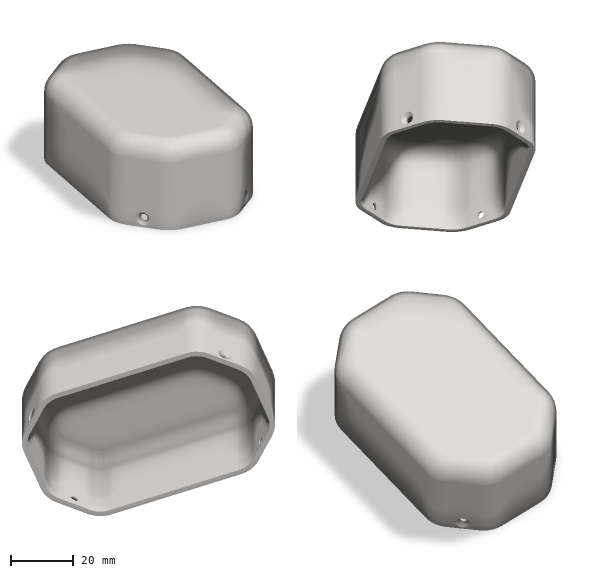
import cadquery as cq

length = 79.2
width = 50.0
height = 30.0
wall = 1.75
corner_cut = 13.4
corner_radius = 10.0
top_radius = 6.0

hole_diameter = 2.4
sink_diameter = 4.4
sink_depth = (sink_diameter - hole_diameter) / 2
hole_height = 3.0
drill_reach = 2 * wall


def rounded_octagon_block(inset):
    """Block with every side and the roof moved inward by inset."""
    block = cq.Workplane("XY").box(
        length - 2 * inset, width - 2 * inset, height - inset, centered=(True, True, False)
    )
    cut_leg = corner_cut - (2 - 2**0.5) * inset
    block = block.edges("|Z").chamfer(cut_leg)
    block = block.edges("|Z").fillet(corner_radius - inset)
    return block.faces(">Z").edges().fillet(top_radius - inset)


def screw_hole_cutter(side_x, side_y):
    """Drill and countersink entering the middle of one angled wall."""
    entry = cq.Vector(
        side_x * (length - corner_cut) / 2,
        side_y * (width - corner_cut) / 2,
        hole_height,
    )
    inward = cq.Vector(-side_x, -side_y, 0)
    drill = cq.Solid.makeCylinder(hole_diameter / 2, drill_reach, entry, inward)
    sink = cq.Solid.makeCone(sink_diameter / 2, hole_diameter / 2, sink_depth, entry, inward)
    return drill.fuse(sink)


result = rounded_octagon_block(0).cut(rounded_octagon_block(wall))
for side_x in (-1, 1):
    for side_y in (-1, 1):
        result = result.cut(cq.Workplane(obj=screw_hole_cutter(side_x, side_y)))